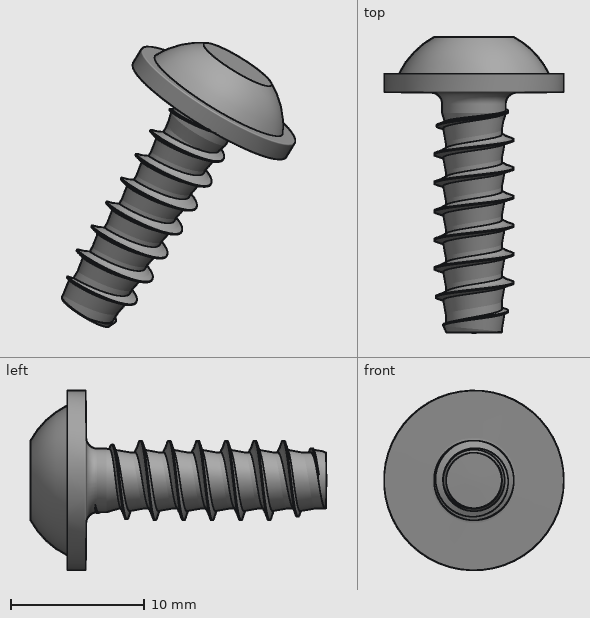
import cadquery as cq
import math


flange_radius = 6.75
flange_top = 1.45
flange_edge = 0.1
bearing_dish = 0.04
dome_base_radius = 5.62
dome_top_radius = 2.98
head_height = 4.2

shank_radius = 2.4
neck_fillet = 0.8
shank_end = -1.5
core_radius = 2.11
core_start = -2.5
tip_y = -17.96
tip_radius = 2.08
tip_bevel_radius = 2.34
tip_bevel_length = 0.6
tip_point = 0.04

pitch = 2.14
first_crest_y = -3.53
crest_radius = 2.99
crest_half_width = 0.05
run_in = (-1.5, -0.1)
run_out = (5.3, 6.4)
last_turn = 7.3
run_in_radius = 2.35
run_out_radius = 2.33
ridge_foot_radius = 2.31
bend_height_share = 0.54
bend_reach = 0.14
flare_reach = 0.25
flare_foot_radius = 2.08
foot_reach = 0.21
slope_end = 1.52
slope_end_radius = 2.08
buried_radius = 1.8
points_per_turn = 16


def dome_mid_point():
    """Point halfway up the dome, on the sphere centred on the screw axis."""
    rise = head_height - flange_top
    centre_drop = (dome_base_radius**2 - dome_top_radius**2 - rise**2) / (2 * rise)
    sphere_radius = math.hypot(dome_base_radius, centre_drop)
    mid_radius = math.sqrt(sphere_radius**2 - (centre_drop + rise / 2) ** 2)
    return mid_radius, flange_top + rise / 2


def make_body():
    """Head, shank and plain core as one turned profile."""
    rim_bottom = bearing_dish
    core_bottom = tip_y - tip_point
    diagonal = 1 - math.sqrt(0.5)
    edge_mid = flange_edge * diagonal
    neck_mid = neck_fillet * diagonal
    profile = (
        cq.Workplane("XY")
        .moveTo(0, head_height)
        .lineTo(dome_top_radius, head_height)
        .threePointArc(dome_mid_point(), (dome_base_radius, flange_top))
        .lineTo(flange_radius - flange_edge, flange_top)
        .threePointArc(
            (flange_radius - edge_mid, flange_top - edge_mid),
            (flange_radius, flange_top - flange_edge),
        )
        .lineTo(flange_radius, rim_bottom + flange_edge)
        .threePointArc(
            (flange_radius - edge_mid, rim_bottom + edge_mid),
            (flange_radius - flange_edge, rim_bottom),
        )
        .lineTo(shank_radius + neck_fillet, 0)
        .threePointArc(
            (shank_radius + neck_mid, -neck_mid),
            (shank_radius, -neck_fillet),
        )
        .lineTo(shank_radius, shank_end)
        .lineTo(core_radius, core_start)
        .lineTo(core_radius, core_bottom)
        .lineTo(0, core_bottom)
        .close()
    )
    return profile.revolve(360, (0, 0, 0), (0, 1, 0))


def ridge_section(crest):
    """Thread ridge section as (radius, offset towards the tip) for a crest radius.

    The flanks shrink towards the crest line as the crest gets lower.
    """
    height_share = (crest - ridge_foot_radius) / (crest_radius - ridge_foot_radius)
    bend = flare_foot_radius + (crest - flare_foot_radius) * bend_height_share
    bend_offset = -crest_half_width - bend_reach * height_share
    flare_offset = bend_offset - flare_reach * height_share
    return [
        (buried_radius, flare_offset),
        (flare_foot_radius, flare_offset),
        (bend, bend_offset),
        (crest, -crest_half_width),
        (crest, crest_half_width),
        (ridge_foot_radius, crest_half_width + foot_reach * height_share),
        (slope_end_radius, slope_end),
        (buried_radius, slope_end),
    ]


def ridge_point(turn, radius, offset):
    """Point on the right-hand helix after the given number of turns."""
    angle = 2 * math.pi * turn
    y = first_crest_y - pitch * turn - offset
    return cq.Vector(radius * math.cos(angle), y, radius * math.sin(angle))


def ridge_segment(start, end, start_crest, end_crest):
    """Stretch of thread ridge whose crest radius changes evenly with the turn."""
    steps = math.ceil((end - start) * points_per_turn)
    rails = [[] for _ in ridge_section(crest_radius)]
    for step in range(steps + 1):
        share = step / steps
        turn = start + (end - start) * share
        section = ridge_section(start_crest + (end_crest - start_crest) * share)
        for rail, (radius, offset) in zip(rails, section):
            rail.append(ridge_point(turn, radius, offset))
    edges = [cq.Edge.makeSpline(rail) for rail in rails]
    faces = [cq.Face.makeRuledSurface(edges[i - 1], edges[i]) for i in range(len(edges))]
    for index in (0, -1):
        corners = [rail[index] for rail in rails]
        faces.append(cq.Face.makeFromWires(cq.Wire.makePolygon(corners, close=True)))
    return cq.Solid.makeSolid(cq.Shell.makeShell(faces))


def make_envelope():
    """Turned outer limit that gives the tip its bevel and shallow point."""
    bevel_start = tip_y + tip_bevel_length
    profile = (
        cq.Workplane("XY")
        .moveTo(0, head_height)
        .lineTo(flange_radius, head_height)
        .lineTo(flange_radius, bevel_start)
        .lineTo(tip_bevel_radius, bevel_start)
        .lineTo(tip_radius, tip_y)
        .lineTo(0, tip_y - tip_point)
        .close()
    )
    return profile.revolve(360, (0, 0, 0), (0, 1, 0))


def make_thread():
    """Whole ridge: run-in, full-depth turns, run-out and the trimmed tail."""
    segments = [
        ridge_segment(*run_in, run_in_radius, crest_radius),
        ridge_segment(run_in[1], run_out[0], crest_radius, crest_radius),
        ridge_segment(*run_out, crest_radius, run_out_radius),
        ridge_segment(run_out[1], last_turn, run_out_radius, run_out_radius),
    ]
    thread = cq.Workplane(segments[0])
    for segment in segments[1:]:
        thread = thread.union(cq.Workplane(segment))
    return thread


screw = make_body().union(make_thread()).intersect(make_envelope())
result = cq.Workplane(screw.solids().val())